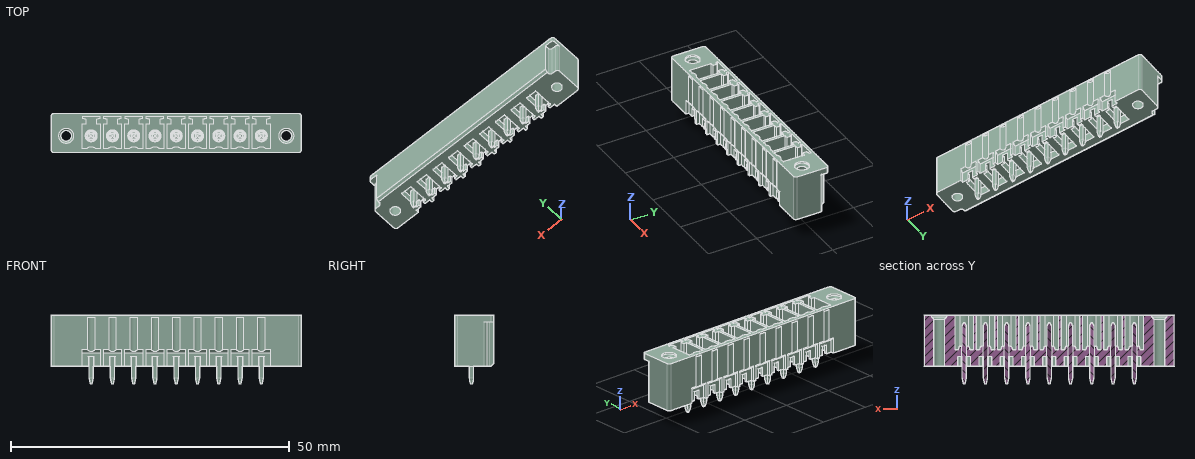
import cadquery as cq
import math

length = 44.9
depth = 7.05
height = 9.2
pole_count = 9
pitch = 3.8
pin_y = -0.5
pole_xs = [(i - (pole_count - 1) / 2) * pitch for i in range(pole_count)]

front_y = -depth / 2
back_y = depth / 2

corner_radius = 0.5
flange_thickness = 1.2
relief_radius = 0.5
relief_inset = 1.8
relief_flat = 0.75
back_chamfer = 0.5

mount_hole_x = 19.75
mount_hole_diameter = 1.9
mount_mouth_diameter = 2.7
mount_bore_depth = 0.3
mount_cone_height = 0.45

floor_z = 3.0
pocket_width = 3.28
pocket_half_width = pocket_width / 2
neck_half_width = 0.95
head_half_width = 1.55
pocket_front_y = -2.75
shoulder_y = 1.65
neck_top_y = 2.45
head_side_y = 2.65
head_top_y = 3.0
bulge_half_width = 0.75
bulge_rise = 0.25

boss_base_diameter = 2.15
boss_shoulder_diameter = 1.8
boss_top_diameter = 1.4
boss_shoulder_height = 0.55
boss_height = 0.67

groove_width = 1.3
groove_depth = 0.35
groove_top_gap = 0.4
notch_width = 3.28
notch_depth = 0.6
notch_height = 3.0
slot_width = 1.0
slot_height = 1.75
recess_width = 2.25
recess_depth = 3.95

pin_width = 0.8
pin_drop = 3.2
pin_top_gap = 1.35
tail_tip_length = 1.1
tail_tip_width = 0.3
head_tip_length = 0.55
head_tip_width = 0.22


def back_corner_relief():
    """Cutter for the +X back corner below the flange: a convex arc, then a concave arc."""
    end_x = length / 2
    inner_x = end_x - relief_inset
    flat_start_y = back_y - relief_flat
    turn_y = flat_start_y - relief_radius
    relief_start_y = turn_y - relief_radius
    convex_x = end_x - relief_radius
    concave_x = inner_x + relief_radius
    bow = relief_radius * math.sqrt(0.5)
    return (
        cq.Workplane("XY")
        .moveTo(end_x, relief_start_y)
        .threePointArc((convex_x + bow, relief_start_y + bow), (convex_x, turn_y))
        .lineTo(concave_x, turn_y)
        .threePointArc((concave_x - bow, flat_start_y - bow), (inner_x, flat_start_y))
        .lineTo(inner_x, back_y)
        .lineTo(end_x, back_y)
        .close()
        .extrude(height - flange_thickness)
    )


def housing_block():
    """Outer block with rounded corners, relieved back corners and chamfered back edge."""
    block = (
        cq.Workplane("XY")
        .box(length, depth, height, centered=(True, True, False))
        .edges("|Z")
        .fillet(corner_radius)
    )
    relief = back_corner_relief()
    block = block.cut(relief).cut(relief.mirror("YZ"))
    return block.faces("<Z").edges(">Y").chamfer(back_chamfer)


def mounting_hole(x):
    """Cutter for a through hole with a straight mouth that narrows through a cone."""
    hole_radius = mount_hole_diameter / 2
    mouth_radius = mount_mouth_diameter / 2
    cone_top_z = height - mount_bore_depth
    return (
        cq.Workplane("XZ")
        .polyline([
            (0, 0),
            (hole_radius, 0),
            (hole_radius, cone_top_z - mount_cone_height),
            (mouth_radius, cone_top_z),
            (mouth_radius, height),
            (0, height),
        ])
        .close()
        .revolve(360, (0, 0), (0, 1))
        .translate((x, pin_y, 0))
    )


def pin_boss():
    """Boss on the pocket floor around the pin: a steep cone below a flatter one."""
    base_radius = boss_base_diameter / 2
    shoulder_radius = boss_shoulder_diameter / 2
    top_radius = boss_top_diameter / 2
    return (
        cq.Workplane("XZ")
        .polyline([
            (0, 0),
            (base_radius, 0),
            (shoulder_radius, boss_shoulder_height),
            (top_radius, boss_height),
            (0, boss_height),
        ])
        .close()
        .revolve(360, (0, 0), (0, 1))
        .translate((0, pin_y, floor_z))
    )


def pocket():
    """Cutter for one T-shaped contact pocket, leaving the boss around the pin."""
    cavity = (
        cq.Workplane("XY")
        .workplane(offset=floor_z)
        .moveTo(-pocket_half_width, pocket_front_y)
        .lineTo(-bulge_half_width, pocket_front_y)
        .threePointArc((0, pocket_front_y + bulge_rise), (bulge_half_width, pocket_front_y))
        .lineTo(pocket_half_width, pocket_front_y)
        .lineTo(pocket_half_width, shoulder_y)
        .lineTo(neck_half_width, shoulder_y)
        .lineTo(neck_half_width, neck_top_y)
        .lineTo(head_half_width, head_side_y)
        .lineTo(head_half_width, head_top_y)
        .lineTo(-head_half_width, head_top_y)
        .lineTo(-head_half_width, head_side_y)
        .lineTo(-neck_half_width, neck_top_y)
        .lineTo(-neck_half_width, shoulder_y)
        .lineTo(-pocket_half_width, shoulder_y)
        .close()
        .extrude(height - floor_z)
    )
    return cavity.cut(pin_boss())


def front_groove():
    """Cutter for the shallow arc groove above one notch."""
    half_width = groove_width / 2
    return (
        cq.Workplane("XY")
        .moveTo(-half_width, front_y)
        .threePointArc((0, front_y + groove_depth), (half_width, front_y))
        .close()
        .extrude(height - groove_top_gap)
    )


def front_notch():
    """Cutter for one notch with a sloping ceiling at the foot of the front face."""
    inner_y = front_y + notch_depth
    return (
        cq.Workplane("YZ")
        .polyline([
            (front_y, 0),
            (inner_y, 0),
            (inner_y, notch_height - notch_depth),
            (front_y, notch_height),
        ])
        .close()
        .extrude(notch_width / 2, both=True)
    )


def pin_slot():
    """Cutter for the slot that leads from one notch to the recess around the pin."""
    slot_depth = pin_y - front_y
    return (
        cq.Workplane("XY")
        .box(slot_width, slot_depth, slot_height, centered=(True, False, False))
        .translate((0, front_y, 0))
    )


def pin_recess():
    """Cutter for the underside recess around one pin."""
    return (
        cq.Workplane("XY")
        .box(recess_width, recess_depth, slot_height, centered=(True, True, False))
        .translate((0, pin_y, 0))
    )


def pin_shaft(bottom_z, top_z):
    """Straight square length of a pin."""
    return (
        cq.Workplane("XY")
        .box(pin_width, pin_width, top_z - bottom_z, centered=(True, True, False))
        .translate((0, pin_y, bottom_z))
    )


def head_tip(base_z):
    """Pyramid-shaped upper end of a pin."""
    return (
        cq.Workplane("XY", origin=(0, pin_y, base_z))
        .rect(pin_width, pin_width)
        .workplane(offset=head_tip_length)
        .rect(head_tip_width, head_tip_width)
        .loft(ruled=True)
    )


def tail_tip(base_z):
    """Lower end of a pin: flat tapers across X, arcs tangent to the shaft across Y."""
    half_width = pin_width / 2
    half_tip = tail_tip_width / 2
    end_z = base_z - tail_tip_length
    taper = (
        cq.Workplane("XZ")
        .polyline([
            (-half_width, base_z),
            (half_width, base_z),
            (half_tip, end_z),
            (-half_tip, end_z),
        ])
        .close()
        .extrude(half_width, both=True)
    )
    inset = half_width - half_tip
    arc_radius = (tail_tip_length**2 + inset**2) / (2 * inset)
    middle_z = base_z - tail_tip_length / 2
    middle_y = half_width - arc_radius + math.sqrt(arc_radius**2 - (tail_tip_length / 2) ** 2)
    rounded = (
        cq.Workplane("YZ")
        .moveTo(-half_width, base_z)
        .lineTo(half_width, base_z)
        .threePointArc((middle_y, middle_z), (half_tip, end_z))
        .lineTo(-half_tip, end_z)
        .threePointArc((-middle_y, middle_z), (-half_width, base_z))
        .close()
        .extrude(half_width, both=True)
    )
    return taper.intersect(rounded).translate((0, pin_y, 0))


def make_pin(x):
    """One square contact pin, tapered at both ends."""
    shaft_bottom = tail_tip_length - pin_drop
    shaft_top = height - pin_top_gap - head_tip_length
    pin = (
        pin_shaft(shaft_bottom, shaft_top)
        .union(tail_tip(shaft_bottom))
        .union(head_tip(shaft_top))
    )
    return pin.translate((x, 0, 0))


def make_housing():
    """Header housing with its mounting holes and the features of every pole."""
    housing = housing_block()
    for x in (-mount_hole_x, mount_hole_x):
        housing = housing.cut(mounting_hole(x))
    pole_cutters = [
        pocket(),
        front_groove(),
        front_notch(),
        pin_slot(),
        pin_recess(),
        pin_shaft(0, height),
    ]
    for x in pole_xs:
        for cutter in pole_cutters:
            housing = housing.cut(cutter.translate((x, 0, 0)))
    return housing


housing = make_housing()
pins = [make_pin(x) for x in pole_xs]

result = cq.Compound.makeCompound([housing.val(), *[pin.val() for pin in pins]])